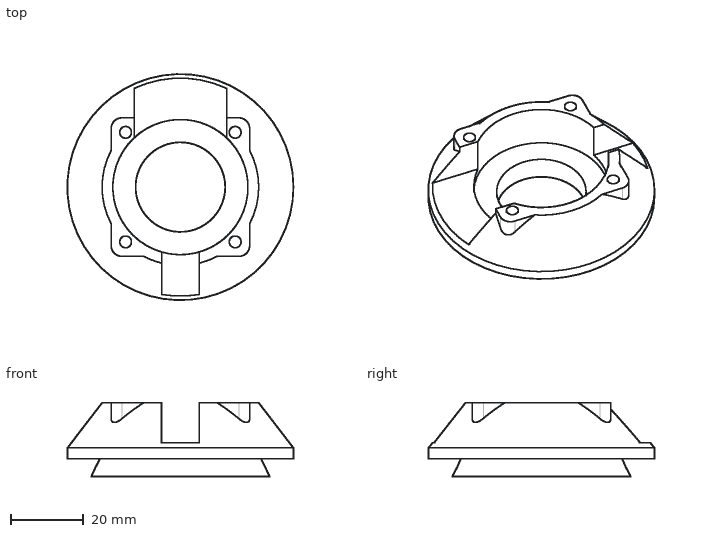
import cadquery as cq

total_height = 20.2
rim_bottom = 4.85
rim_top = 7.8

rim_radius = 31.0
top_radius = 21.45
foot_bottom_radius = 24.5
foot_top_radius = 22.15

bore_diameter = 37.0
through_diameter = 24.5
bore_floor = 7.0

boss_square = 37.95
boss_corner_radius = 3.0
boss_base = 12.4
screw_spacing = 30.0
screw_diameter = 3.2
screw_depth = 6.2

slot_floor = 9.3
front_slot_width = 10.3
back_slot_width = 25.3


def make_body():
    """Turned body: flared foot, cylindrical rim and tapered upper cone."""
    profile = [
        (0, 0),
        (foot_bottom_radius, 0),
        (foot_top_radius, rim_bottom),
        (rim_radius, rim_bottom),
        (rim_radius, rim_top),
        (top_radius, total_height),
        (0, total_height),
    ]
    return cq.Workplane("XZ").polyline(profile).close().revolve(360, (0, 0, 0), (0, 1, 0))


def make_bosses():
    """Rounded square block whose corners form the four bosses."""
    return (
        cq.Workplane("XY", origin=(0, 0, boss_base))
        .rect(boss_square, boss_square)
        .extrude(total_height - boss_base)
        .edges("|Z")
        .fillet(boss_corner_radius)
    )


def make_bore(diameter, floor):
    """Central cylinder from the floor height up to the top face."""
    return cq.Workplane("XY", origin=(0, 0, floor)).circle(diameter / 2).extrude(total_height - floor)


def make_slot(width, side):
    """Radial slot from the axis outward; side is -1 for -Y and +1 for +Y."""
    height = total_height - slot_floor
    return (
        cq.Workplane("XY", origin=(0, side * rim_radius / 2, slot_floor))
        .box(width, rim_radius, height, centered=(True, True, False))
    )


def make_screw_holes():
    """Four blind holes, one in each boss."""
    return (
        cq.Workplane("XY", origin=(0, 0, total_height))
        .rect(screw_spacing, screw_spacing, forConstruction=True)
        .vertices()
        .circle(screw_diameter / 2)
        .extrude(-screw_depth)
    )


result = (
    make_body()
    .union(make_bosses())
    .cut(make_bore(through_diameter, 0))
    .cut(make_bore(bore_diameter, bore_floor))
    .cut(make_slot(front_slot_width, -1))
    .cut(make_slot(back_slot_width, 1))
    .cut(make_screw_holes())
)